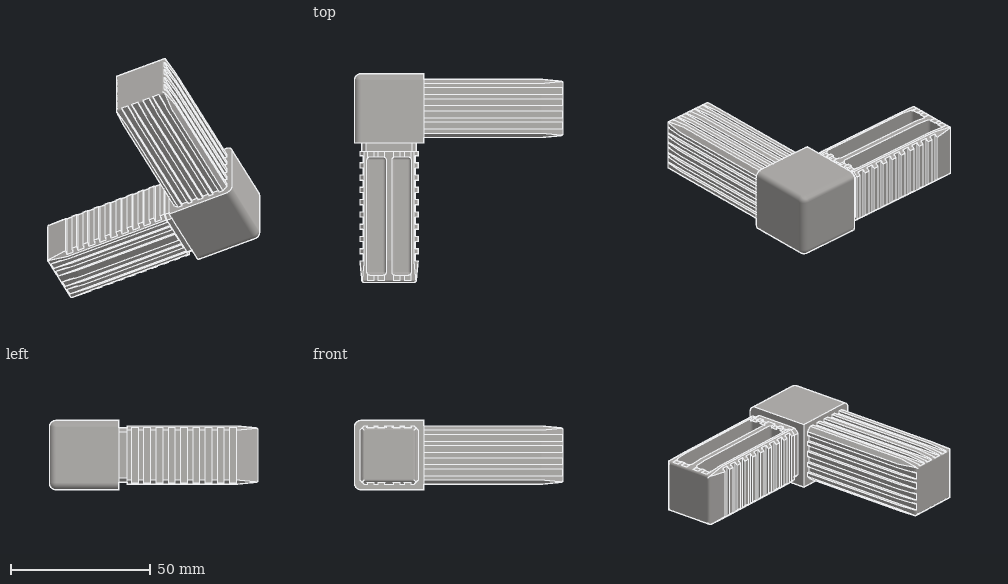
import cadquery as cq

overall = 75.0
hub = overall / 3
hub_round = 2.5
hub_half = hub / 2

arm_width = 21.0
arm_chamfer = 1.6
groove_depth = 1.05
tip_step = 0.75
tip_width = arm_width - 2 * tip_step
tip_length = 7.8
tip_round = 1.0
arm_reach = overall - hub_half
taper_start = arm_reach - tip_length
embed = 0.75

straight_arm_grooves = (1.0, 2.5, 1.5, groove_depth)
ribbed_arm_grooves = (1.6, 2.3, 1.6, 0.71)

neck_width = 19.65
neck_length = 2.9
cross_groove_count = 9
cross_groove_width = 2.5
cross_groove_margin = 1.6

pocket_width = 7.05
pocket_spacing = 9.0
pocket_end_wall = 2.6
pocket_setback = 2.0
pocket_floor = 1.35
pocket_round = 1.1


def along_x(start, length, width, height):
    """Box centred on the X axis, running from start in +X."""
    return cq.Workplane("XY").box(length, width, height, centered=(False, True, True)).translate((start, 0, 0))


def chamfered_bar(start, end, width):
    """Square bar along +X with its four long edges chamfered."""
    return along_x(start, end - start, width, width).edges("|X").chamfer(arm_chamfer)


def arm_body(start):
    """Chamfered bar whose free end tapers on four sides and has a rounded rim."""
    tip = (
        cq.Workplane("YZ", origin=(taper_start, 0, 0))
        .rect(arm_width, arm_width)
        .workplane(offset=tip_length)
        .rect(tip_width, tip_width)
        .loft()
        .faces(">X")
        .edges()
        .fillet(tip_round)
    )
    envelope = along_x(start, taper_start - start, arm_width, arm_width).union(tip)
    return chamfered_bar(start, arm_reach, arm_width).intersect(envelope)


def long_grooves(start, layout):
    """Cutters for the four lengthwise grooves in the top and in the bottom of an arm."""
    middle_half, width, rib, depth = layout
    inner = middle_half + width / 2
    outer = inner + width + rib
    cutter = along_x(start, arm_reach - start, width, 2 * depth)
    cutters = cq.Workplane("XY")
    for y in (-outer, -inner, inner, outer):
        for z in (-arm_width / 2, arm_width / 2):
            cutters = cutters.add(cutter.translate((0, y, z)))
    return cutters.combine()


def cross_grooves(start):
    """Cutters for the evenly spaced grooves across both sides of the ribbed arm."""
    first = start + cross_groove_margin
    pitch = (taper_start - cross_groove_width - first) / (cross_groove_count - 1)
    cutters = cq.Workplane("XY")
    for i in range(cross_groove_count):
        cutter = along_x(first + i * pitch, cross_groove_width, 2 * groove_depth, arm_width)
        for y in (-arm_width / 2, arm_width / 2):
            cutters = cutters.add(cutter.translate((0, y, 0)))
    return cutters.combine()


def pockets(start):
    """Cutters for the two long pockets, rounded at the corners and around the floor."""
    pocket_start = start + pocket_setback
    length = arm_reach - pocket_end_wall - pocket_start
    floor_z = -arm_width / 2 + groove_depth + pocket_floor
    cutter = (
        cq.Workplane("XY")
        .box(length, pocket_width, arm_width / 2 - floor_z, centered=(False, True, False))
        .edges("|Z or <Z")
        .fillet(pocket_round)
        .translate((pocket_start, 0, floor_z))
    )
    left = cutter.translate((0, pocket_spacing / 2, 0))
    right = cutter.translate((0, -pocket_spacing / 2, 0))
    return left.union(right)


def make_hub():
    """Cube with every edge of its two outer faces rounded, except where the arms leave."""
    cube = cq.Workplane("XY").box(hub, hub, hub)
    return cube.edges("(<X or >Y) and (not >X) and (not <Y)").fillet(hub_round)


def straight_arm():
    """Arm with lengthwise grooves on all four sides."""
    start = hub_half - embed
    grooves = long_grooves(hub_half, straight_arm_grooves)
    side_grooves = grooves.rotate((0, 0, 0), (1, 0, 0), 90)
    return arm_body(start).cut(grooves).cut(side_grooves)


def ribbed_arm():
    """Necked arm with crosswise ribs on its sides and two pockets in its top."""
    start = hub_half + neck_length
    body = arm_body(start).cut(long_grooves(start, ribbed_arm_grooves))
    body = body.cut(cross_grooves(start)).cut(pockets(start))
    neck = chamfered_bar(hub_half - embed, start, neck_width)
    return body.union(neck)


ribbed = ribbed_arm().rotate((0, 0, 0), (0, 0, 1), -90)
result = make_hub().union(straight_arm()).union(ribbed)